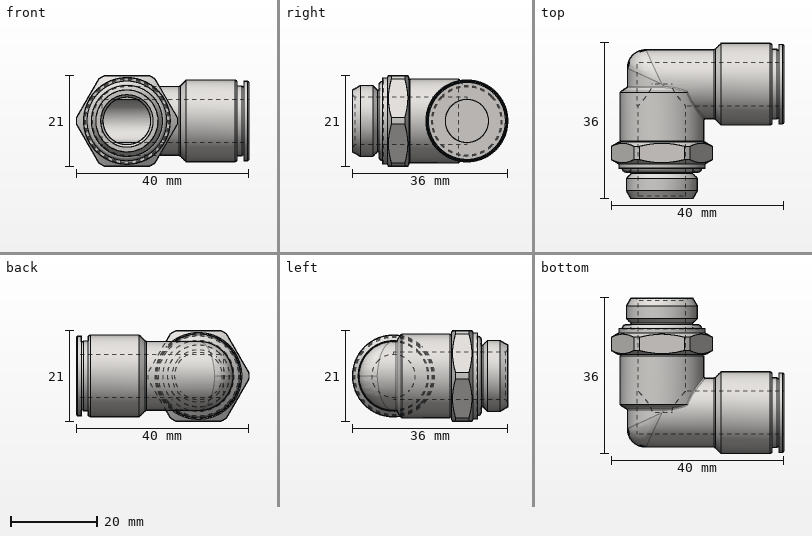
import cadquery as cq
import math

OUTLET_END = 28.3
SOCKET_RADIUS = 19.0 / 2
DEPTH_OVERALL = 36.0
INLET_END = SOCKET_RADIUS - DEPTH_OVERALL

PIPE_RADIUS = 8.0
CORNER_ROUND = 4.25
INLET_BORE_RADIUS = 11.0 / 2
OUTLET_BORE_RADIUS = 5.0
OUTLET_BORE_START = -5.8
BORE_MOUTH_RADIUS = 12.15 / 2
BORE_CHAMFER = BORE_MOUTH_RADIUS - INLET_BORE_RADIUS

NUT_ACROSS_FLATS = 21.0
NUT_CORNER_RADIUS = 11.72
NUT_BOTTOM = 8.1
NUT_TOP = 13.1
NUT_CHAMFER_HEIGHT = 0.95
NUT_CHAMFER_ANGLE = 30

THREAD_RADIUS = 8.25
THREAD_TIP_RADIUS = 7.2
THREAD_START = 1.85
THREAD_END = 4.72
NECK_RADIUS = 14.3 / 2
NECK_START = 5.8
SEAL_CENTRE = 7.15
WASHER_START = 7.0
SEAL_OUTER_RADIUS = 9.25
WASHER_RADIUS = 10.0

BODY_RADIUS = 19.5 / 2
BODY_START = 13.35
BODY_GROOVE_RADIUS = 9.55
BODY_SHOULDER = 24.55
SHOULDER_BEVEL = 0.35
SHOULDER_TOP = 25.8
SHOULDER_COVE = 0.32

SOCKET_STEP = 12.05
SOCKET_CONE_START = 12.4
SOCKET_CONE_END = 13.72
SOCKET_END = 25.53
SOCKET_CHAMFER_LENGTH = 0.5
SOCKET_CHAMFER_DEPTH = 0.32
COLLAR_NECK_RADIUS = 8.12
COLLAR_NECK_END = 26.65
COLLAR_RELIEF_RADIUS = 7.92
COLLAR_RADIUS = 9.25
COLLAR_START = 27.1
COLLAR_CHAMFER = 0.32


def turn_about_y(profile):
    """Revolve a closed (radius, height) wire, with height from the inlet end."""
    solid = profile.close().revolve(360, (0, 0), (0, 1))
    return solid.translate((0, INLET_END, 0))


def cylinder_x(radius, start, end):
    plane = cq.Plane(origin=(start, 0, 0), xDir=(0, -1, 0), normal=(1, 0, 0))
    return cq.Workplane(plane).circle(radius).extrude(end - start)


def cylinder_y(radius, start, end):
    return cq.Workplane("XZ", origin=(0, end, 0)).circle(radius).extrude(end - start)


def make_elbow():
    """Two equal pipes meeting at a mitre whose outer edge is rounded."""
    corner = cylinder_x(PIPE_RADIUS, -PIPE_RADIUS, 0)
    corner = corner.intersect(cylinder_y(PIPE_RADIUS, 0, PIPE_RADIUS))
    block = 4 * PIPE_RADIUS
    upper_half = cq.Workplane("XY").rect(block, block).extrude(block)
    corner = corner.intersect(upper_half).edges("%ELLIPSE").fillet(CORNER_ROUND)
    corner = corner.union(corner.mirror("XY"))
    outlet_pipe = cylinder_x(PIPE_RADIUS, 0, SOCKET_CONE_START)
    inlet_pipe = cylinder_y(PIPE_RADIUS, INLET_END + NUT_TOP, 0)
    return outlet_pipe.union(inlet_pipe).union(corner)


def make_threaded_end():
    """Thread, undercut, half-round seal and washer below the nut."""
    seal_section = (SEAL_OUTER_RADIUS - NECK_RADIUS) / 2
    profile = (
        cq.Workplane("XY")
        .lineTo(THREAD_TIP_RADIUS, 0)
        .lineTo(THREAD_RADIUS, THREAD_START)
        .lineTo(THREAD_RADIUS, THREAD_END)
        .lineTo(NECK_RADIUS, NECK_START)
        .lineTo(NECK_RADIUS, SEAL_CENTRE)
        .threePointArc(
            (NECK_RADIUS + seal_section, SEAL_CENTRE - seal_section),
            (SEAL_OUTER_RADIUS, SEAL_CENTRE),
        )
        .lineTo(SEAL_OUTER_RADIUS, WASHER_START)
        .lineTo(WASHER_RADIUS, WASHER_START)
        .lineTo(WASHER_RADIUS, NUT_BOTTOM)
        .lineTo(0, NUT_BOTTOM)
    )
    return turn_about_y(profile)


def make_nut():
    """Hexagon with its corners turned down and both faces chamfered."""
    hexagon = (
        cq.Workplane("XZ", origin=(0, INLET_END + NUT_TOP, 0))
        .polygon(6, NUT_ACROSS_FLATS / math.cos(math.pi / 6))
        .extrude(NUT_TOP - NUT_BOTTOM)
    )
    face_radius = NUT_CORNER_RADIUS - NUT_CHAMFER_HEIGHT / math.tan(math.radians(NUT_CHAMFER_ANGLE))
    profile = (
        cq.Workplane("XY")
        .moveTo(0, NUT_BOTTOM)
        .lineTo(face_radius, NUT_BOTTOM)
        .lineTo(NUT_CORNER_RADIUS, NUT_BOTTOM + NUT_CHAMFER_HEIGHT)
        .lineTo(NUT_CORNER_RADIUS, NUT_TOP - NUT_CHAMFER_HEIGHT)
        .lineTo(face_radius, NUT_TOP)
        .lineTo(0, NUT_TOP)
    )
    return hexagon.intersect(turn_about_y(profile))


def make_body():
    """Round swivel body with a conical shoulder that runs into the elbow."""
    profile = (
        cq.Workplane("XY")
        .moveTo(0, NUT_TOP)
        .lineTo(BODY_GROOVE_RADIUS, NUT_TOP)
        .lineTo(BODY_GROOVE_RADIUS, BODY_START)
        .lineTo(BODY_RADIUS, BODY_START)
        .lineTo(BODY_RADIUS, BODY_SHOULDER)
        .lineTo(BODY_RADIUS - SHOULDER_BEVEL, BODY_SHOULDER + SHOULDER_BEVEL)
        .lineTo(PIPE_RADIUS, SHOULDER_TOP)
        .lineTo(0, SHOULDER_TOP)
    )
    return turn_about_y(profile)


def make_socket():
    """Outlet socket with a release collar at its end."""
    cone_start_radius = SOCKET_RADIUS - (SOCKET_CONE_END - SOCKET_CONE_START)
    profile = (
        cq.Workplane("XY")
        .moveTo(SOCKET_STEP, 0)
        .lineTo(SOCKET_STEP, PIPE_RADIUS)
        .lineTo(SOCKET_CONE_START, cone_start_radius)
        .lineTo(SOCKET_CONE_END, SOCKET_RADIUS)
        .lineTo(SOCKET_END - SOCKET_CHAMFER_LENGTH, SOCKET_RADIUS)
        .lineTo(SOCKET_END, SOCKET_RADIUS - SOCKET_CHAMFER_DEPTH)
        .lineTo(SOCKET_END, COLLAR_NECK_RADIUS)
        .lineTo(COLLAR_NECK_END, COLLAR_NECK_RADIUS)
        .lineTo(COLLAR_NECK_END, COLLAR_RELIEF_RADIUS)
        .lineTo(COLLAR_START, COLLAR_RELIEF_RADIUS)
        .lineTo(COLLAR_START, COLLAR_RADIUS)
        .lineTo(OUTLET_END - COLLAR_CHAMFER, COLLAR_RADIUS)
        .lineTo(OUTLET_END, COLLAR_RADIUS - COLLAR_CHAMFER)
        .lineTo(OUTLET_END, 0)
        .close()
    )
    return profile.revolve(360, (0, 0), (1, 0))


def make_inlet_bore():
    """Inlet bore with a chamfered mouth, ending at the outlet bore's axis."""
    bore_depth = -INLET_END
    inlet_profile = (
        cq.Workplane("XY")
        .lineTo(BORE_MOUTH_RADIUS, 0)
        .lineTo(INLET_BORE_RADIUS, BORE_CHAMFER)
        .lineTo(INLET_BORE_RADIUS, bore_depth)
        .lineTo(0, bore_depth)
    )
    return turn_about_y(inlet_profile)


def make_housing():
    """Elbow and body joined, with a small cove all along their seam."""
    housing = make_elbow().union(make_body())
    shoulder = INLET_END + SHOULDER_TOP
    shoulder_circle = housing.edges(cq.selectors.NearestToPointSelector((-PIPE_RADIUS, shoulder, 0)))
    seam_region = cq.selectors.BoxSelector(
        (0, -PIPE_RADIUS, -BODY_RADIUS),
        (BODY_RADIUS, shoulder, BODY_RADIUS),
    )
    seam_curves = housing.edges("%BSPLINE").edges(seam_region)
    return seam_curves.add(shoulder_circle).fillet(SHOULDER_COVE)


result = make_housing()
for section in (make_nut(), make_threaded_end(), make_socket()):
    result = result.union(section)
outlet_bore = cylinder_x(OUTLET_BORE_RADIUS, OUTLET_BORE_START, OUTLET_END)
result = result.cut(make_inlet_bore().union(outlet_bore))